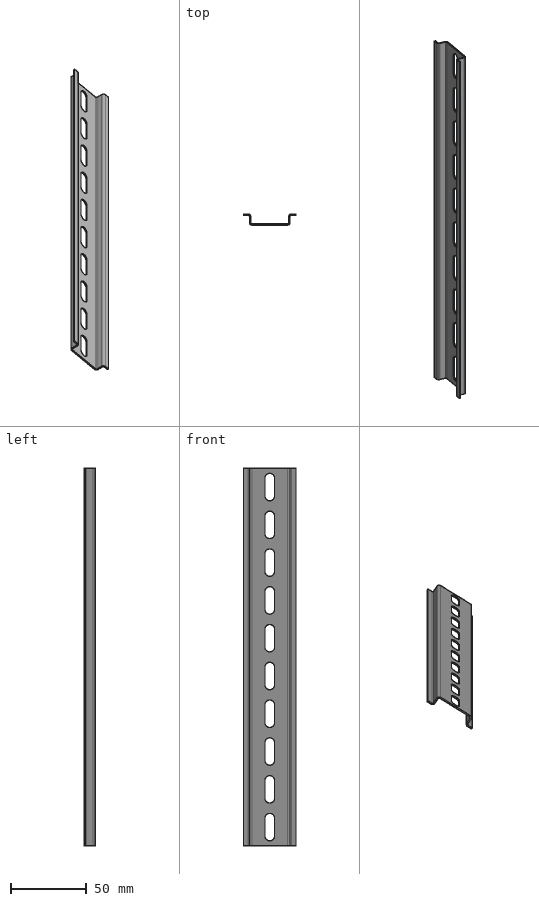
import cadquery as cq

length = 250.0
width = 35.0
depth = 7.5
thickness = 1.0

channel_width = 27.0
inner_radius = 0.8
outer_radius = inner_radius + thickness

slot_count = 10
slot_pitch = length / slot_count
slot_length = 18.0
slot_width = 6.2

half_width = width / 2
half_channel = channel_width / 2
half_cavity = half_channel - thickness
front = -depth / 2
back = depth / 2


def plate(x_min, x_max, y_min, y_max):
    """Full-length block, centred in Z."""
    return cq.Workplane("XY").box(x_max - x_min, y_max - y_min, length).translate(
        ((x_min + x_max) / 2, (y_min + y_max) / 2, 0)
    )


def edges_at(x, y):
    """Selector for the two mirrored lengthwise bend edges at +/-x and height y."""
    reach = thickness / 4
    boxes = [
        cq.selectors.BoxSelector(
            (side * x - reach, y - reach, -length), (side * x + reach, y + reach, length)
        )
        for side in (-1, 1)
    ]
    return boxes[0] + boxes[1]


def make_profile():
    """Folded hat section with rounded bends."""
    rail = plate(-half_channel, half_channel, front, front + thickness)
    for side in (-1, 1):
        wall_x = sorted((side * half_cavity, side * half_channel))
        lip_x = sorted((side * half_cavity, side * half_width))
        rail = rail.union(plate(*wall_x, front, back))
        rail = rail.union(plate(*lip_x, back - thickness, back))
    rail = rail.clean()

    inside_bends = edges_at(half_cavity, front + thickness) + edges_at(half_channel, back - thickness)
    outside_bends = edges_at(half_channel, front) + edges_at(half_cavity, back)
    rail = rail.edges("|Z").edges(inside_bends).fillet(inner_radius)
    return rail.edges("|Z").edges(outside_bends).fillet(outer_radius)


def make_slots():
    """Vertical slots, evenly spaced along the rail."""
    return (
        cq.Workplane("XZ")
        .rarray(2.5, slot_pitch, 1, slot_count)
        .slot2D(slot_length, slot_width, 90)
        .extrude(depth, both=True)
    )


result = make_profile().cut(make_slots())